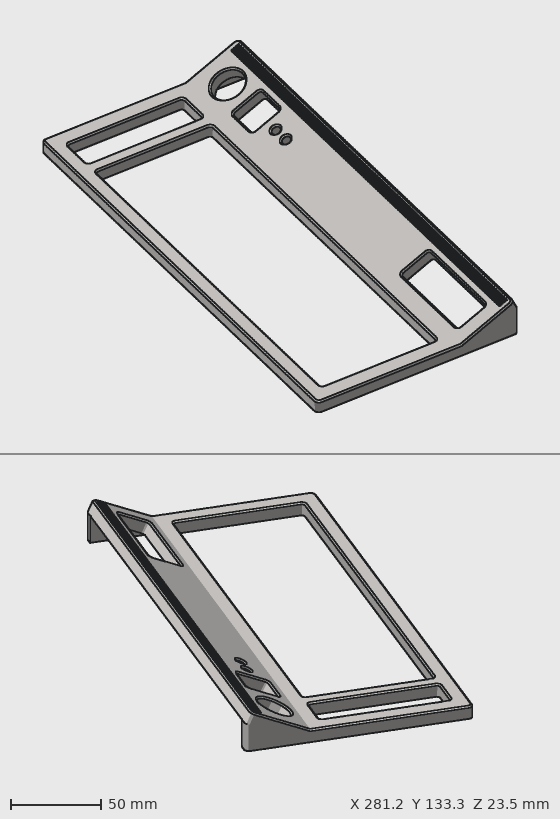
import cadquery as cq
import math

LENGTH = 281.2
DEPTH = 133.3
HEIGHT = 23.5

SHEET = 8.0
SLOPE = 25.0
SIDE_WALL = 7.0
CORNER_RADIUS = 3.0
EDGE_CHAMFER = 1.0
CREASE_RADIUS = 2.8
OPENING_RADIUS = 2.0

MARGIN = 11.2
NARROW = 20.5
SECOND_COLUMN = 40.2
DECK_OPENING_DEPTH = 76.5
DECK_OPENING_FRONT = 9.8
DISPLAY_WIDTH = 58.2
SMALL_HOLE = 5.3
SMALL_HOLE_X = 70.3
SMALL_HOLE_PITCH = 10.5
SMALL_HOLE_COUNT = 2
OPENING_DROP = 22.8

GROOVE = 0.8
GROOVE_COUNT = 4
GROOVE_DROP = 2.2
GROOVE_INSET = 4.0

TILT = math.radians(SLOPE)
SIN, COS = math.sin(TILT), math.cos(TILT)

APEX_Z = HEIGHT + EDGE_CHAMFER * SIN
APEX_Y = DEPTH - SHEET * SIN
REAR_Z = APEX_Z - SHEET * COS
CREASE_Y = APEX_Y - (APEX_Z - SHEET) / math.tan(TILT)
UNDERSIDE_Y = DEPTH - REAR_Z / math.tan(TILT)

PANEL = cq.Plane(origin=(0, APEX_Y, APEX_Z), xDir=(1, 0, 0), normal=(0, -SIN, COS))
DECK = cq.Plane(origin=(0, 0, SHEET), xDir=(1, 0, 0), normal=(0, 0, 1))


def wedge_body():
    """Flat deck with a solid wedge behind it, upright and rear corners rounded."""
    outline = [(0, 0), (DEPTH, 0), (DEPTH, REAR_Z), (APEX_Y, APEX_Z), (CREASE_Y, SHEET), (0, SHEET)]
    block = cq.Workplane("YZ").polyline(outline).close().extrude(LENGTH)
    corners = cq.selectors.ParallelDirSelector(DECK.zDir) + cq.selectors.ParallelDirSelector(PANEL.zDir)
    return block.edges(corners).fillet(CORNER_RADIUS)


def cavity():
    """Space under the panel, open below and behind, between the two side walls."""
    outline = [(UNDERSIDE_Y, 0), (DEPTH, 0), (DEPTH, REAR_Z)]
    start = cq.Workplane("YZ", origin=(SIDE_WALL, 0, 0))
    return start.polyline(outline).close().extrude(LENGTH - 2 * SIDE_WALL)


def rectangular_opening(plane, left, centre_y, width, height):
    """Cutter through the sheet under the plane, with rounded corners."""
    sketch = cq.Workplane(plane).center(left + width / 2, centre_y).rect(width, height)
    return sketch.extrude(-SHEET).edges(cq.selectors.ParallelDirSelector(plane.zDir)).fillet(OPENING_RADIUS)


def round_opening(centre_x, diameter):
    """Round cutter through the panel on the centre line of its openings."""
    return cq.Workplane(PANEL).center(centre_x, -OPENING_DROP).circle(diameter / 2).extrude(-SHEET)


def groove(index):
    """One of the parallel grooves below the apex."""
    drop = GROOVE_DROP + GROOVE / 2 + 2 * GROOVE * index
    strip = cq.Workplane(PANEL).center(LENGTH / 2, -drop).rect(LENGTH - 2 * GROOVE_INSET, GROOVE)
    return strip.extrude(-GROOVE)


part = wedge_body().cut(cavity())

deck_centre = DECK_OPENING_FRONT + DECK_OPENING_DEPTH / 2
wide_opening = LENGTH - MARGIN - SECOND_COLUMN
for left, width in ((MARGIN, NARROW), (SECOND_COLUMN, wide_opening)):
    part = part.cut(rectangular_opening(DECK, left, deck_centre, width, DECK_OPENING_DEPTH))

part = part.cut(round_opening(MARGIN + NARROW / 2, NARROW))
for left, width in ((SECOND_COLUMN, NARROW), (LENGTH - MARGIN - DISPLAY_WIDTH, DISPLAY_WIDTH)):
    part = part.cut(rectangular_opening(PANEL, left, -OPENING_DROP, width, NARROW))
for index in range(SMALL_HOLE_COUNT):
    part = part.cut(round_opening(SMALL_HOLE_X + index * SMALL_HOLE_PITCH, SMALL_HOLE))

upper_faces = cq.selectors.DirectionSelector(DECK.zDir) + cq.selectors.DirectionSelector(PANEL.zDir)
crease = cq.selectors.NearestToPointSelector((LENGTH / 2, CREASE_Y, SHEET))
part = part.faces(upper_faces).edges(cq.selectors.InverseSelector(crease)).chamfer(EDGE_CHAMFER)
part = part.edges(crease).fillet(CREASE_RADIUS)

for index in range(GROOVE_COUNT):
    part = part.cut(groove(index))

result = part